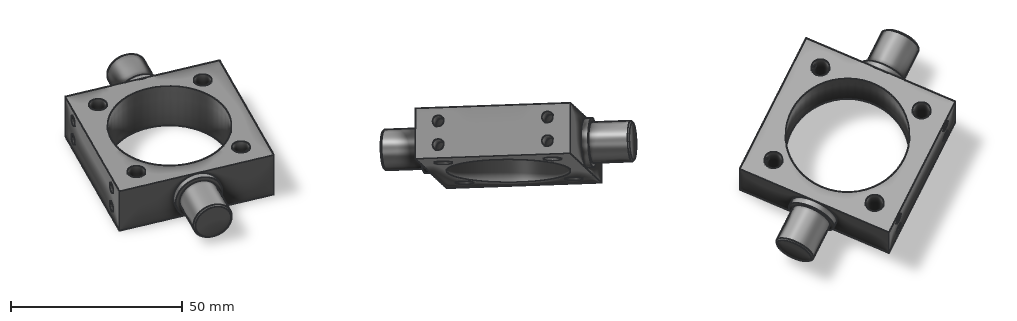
import cadquery as cq

body_x = 46.0
body_y = 48.0
body_z = 15.0
bore_diameter = 36.2

corner_hole_diameter = 5.3
corner_hole_spacing = 32.5

side_hole_diameter = 3.3
side_hole_spacing_z = 7.0
side_hole_depth = (body_y - corner_hole_spacing) / 2

overall_x = 74.0
collar_diameter = 14.5
collar_length = 2.0
pin_diameter = 12.0
pin_length = (overall_x - body_x) / 2 - collar_length
pin_chamfer = 0.5


def make_frame():
    """Block with the large bore and four corner holes along Z."""
    block = cq.Workplane("XY").box(body_x, body_y, body_z)
    bored = block.faces(">Z").workplane().hole(bore_diameter)
    return (
        bored.faces(">Z")
        .workplane(origin=(0, 0, 0))
        .rarray(corner_hole_spacing, corner_hole_spacing, 2, 2)
        .hole(corner_hole_diameter)
    )


def make_side_holes():
    """Cutters for the four side holes entering through the -Y face."""
    return (
        cq.Workplane("XZ", origin=(0, -body_y / 2, 0))
        .rarray(corner_hole_spacing, side_hole_spacing_z, 2, 2)
        .circle(side_hole_diameter / 2)
        .extrude(-side_hole_depth)
    )


def make_trunnion():
    """Collar and chamfered pin standing on the +X face."""
    face_x = body_x / 2
    collar = (
        cq.Workplane("YZ", origin=(face_x, 0, 0))
        .circle(collar_diameter / 2)
        .extrude(collar_length)
    )
    pin = (
        cq.Workplane("YZ", origin=(face_x + collar_length, 0, 0))
        .circle(pin_diameter / 2)
        .extrude(pin_length)
        .faces(">X")
        .chamfer(pin_chamfer)
    )
    return collar.union(pin)


trunnion = make_trunnion()
side_holes = make_side_holes()
frame = make_frame().cut(side_holes).cut(side_holes.mirror("XZ"))
result = frame.union(trunnion).union(trunnion.mirror("YZ"))